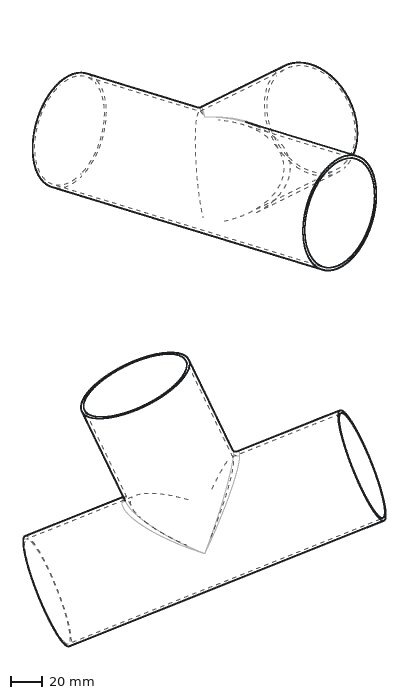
import cadquery as cq

run_length = 220.0
branch_reach = run_length / 2
outer_diameter = 76.1
bore_diameter = 72.2
crotch_radius = 3.0
seam_search_margin = 2.2


def tee_body(diameter):
    """Two equal crossing cylinders: the full run and the one-sided branch."""
    radius = diameter / 2
    run = cq.Workplane("YZ").circle(radius).extrude(run_length / 2, both=True)
    branch = cq.Workplane("XZ").circle(radius).extrude(-branch_reach)
    return run.union(branch)


def round_crotch(body):
    """Fillet the two mitre seams between the branch and the run."""
    reach = outer_diameter / 2 + seam_search_margin
    seams = cq.selectors.BoxSelector(
        (-reach, -seam_search_margin, -reach),
        (reach, reach, reach),
        boundingbox=True,
    )
    return body.edges(seams).fillet(crotch_radius)


outside = round_crotch(tee_body(outer_diameter))
result = outside.cut(tee_body(bore_diameter))